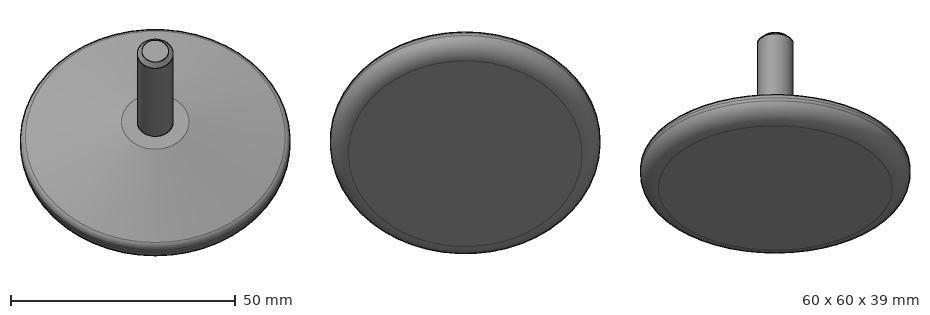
import cadquery as cq
import math

total_height = 39.0
base_diameter = 60.0
base_height = 12.0
top_flat_diameter = 15.0
cone_angle = math.radians(15)
rim_radius = 1.5
bottom_radius = 4.0
stud_diameter = 8.0
stud_chamfer = 1.0

base_radius = base_diameter / 2
top_flat_radius = top_flat_diameter / 2

rim_center_r = base_radius - rim_radius
cone_end_r = rim_center_r + rim_radius * math.sin(cone_angle)
cone_end_z = base_height - (cone_end_r - top_flat_radius) * math.tan(cone_angle)
rim_center_z = cone_end_z - rim_radius * math.cos(cone_angle)
rim_mid_angle = (math.pi / 2 - cone_angle) / 2
rim_mid = (
    rim_center_r + rim_radius * math.cos(rim_mid_angle),
    rim_center_z + rim_radius * math.sin(rim_mid_angle),
)

bottom_center_r = base_radius - bottom_radius
bottom_mid = (
    bottom_center_r + bottom_radius * math.cos(math.pi / 4),
    bottom_radius - bottom_radius * math.sin(math.pi / 4),
)


def make_base():
    """Conical foot with a rounded rim, revolved about the Z axis."""
    profile = (
        cq.Workplane("XZ")
        .lineTo(bottom_center_r, 0)
        .threePointArc(bottom_mid, (base_radius, bottom_radius))
        .lineTo(base_radius, rim_center_z)
        .threePointArc(rim_mid, (cone_end_r, cone_end_z))
        .lineTo(top_flat_radius, base_height)
        .lineTo(0, base_height)
        .close()
    )
    return profile.revolve(360, (0, 0), (0, 1))


def make_stud():
    """Plain round stud with a chamfered tip, standing on the foot."""
    return (
        cq.Workplane("XY")
        .workplane(offset=base_height)
        .circle(stud_diameter / 2)
        .extrude(total_height - base_height)
        .faces(">Z")
        .chamfer(stud_chamfer)
    )


result = make_base().union(make_stud())